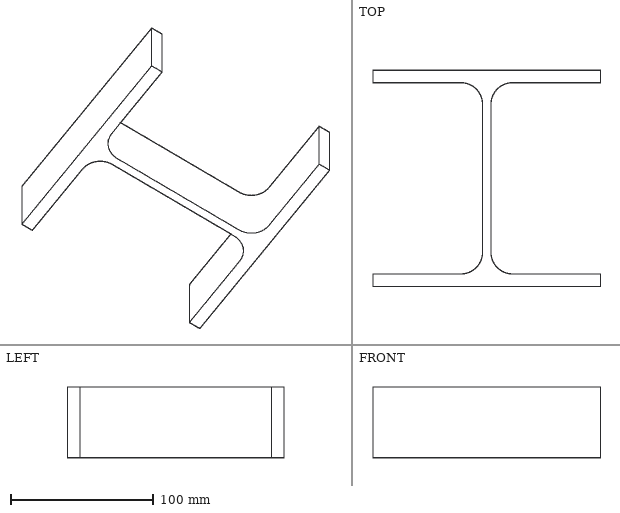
import cadquery as cq

flange_width = 160.0
section_depth = 152.0
beam_length = 50.0
flange_thickness = 9.0
web_thickness = 6.0
root_radius = 15.0

web_depth = section_depth - 2 * flange_thickness
flange_offset = (section_depth - flange_thickness) / 2


def make_flange(side):
    """Flange plate on the +Y (side = 1) or -Y (side = -1) end of the web."""
    plate = cq.Workplane("XY").box(flange_width, flange_thickness, beam_length)
    return plate.translate((0, side * flange_offset, 0))


web = cq.Workplane("XY").box(web_thickness, web_depth, beam_length)
beam = web.union(make_flange(1)).union(make_flange(-1))

root_corners = cq.selectors.BoxSelector(
    (-web_thickness, -section_depth / 2, -beam_length),
    (web_thickness, section_depth / 2, beam_length),
)
result = beam.edges("|Z").edges(root_corners).fillet(root_radius)